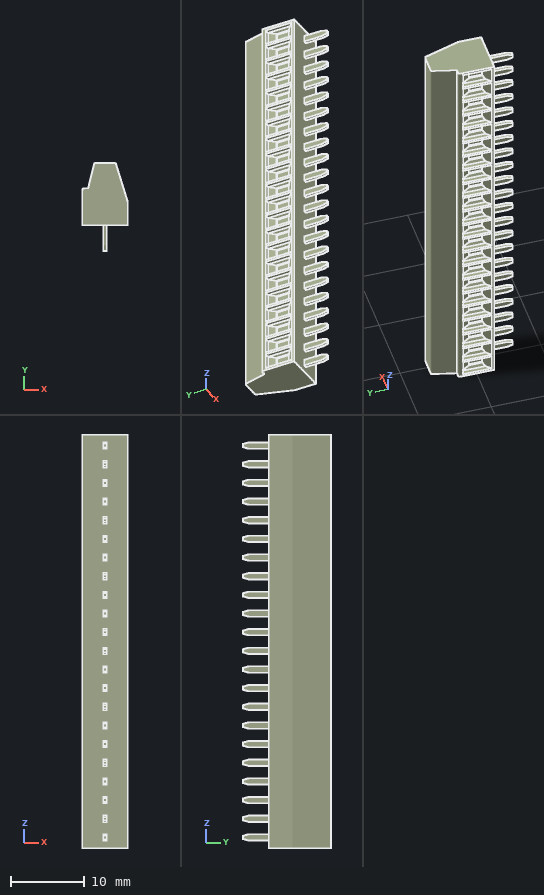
import cadquery as cq

body_width = 6.2
body_depth = 8.5
body_length = 56.35
pin_length = 3.5

pole_count = 22
pole_span = 53.35
pole_pitch = pole_span / (pole_count - 1)

shoulder_depth = body_depth - 3.45
shoulder_width = 0.8
crown_left = 1.65
crown_right = 4.55
flank_depth = body_depth - 5.25
shoulder_radius = 0.3
crown_radius = 0.2

entry_sill = 0.365
entry_width = 4.05
entry_height = 2.2
entry_centre_y = entry_sill + entry_width / 2
mouth_reach = 0.7
funnel_reach = 0.35
throat_width = 1.9
throat_height = 1.4
throat_reach = 0.2
throat_shift = -0.05
throat_rise = 0.05

pin_thickness = 0.5
pin_width = 0.9
pin_tip_width = 0.45
pin_tip_length = 0.8
pin_centre_x = body_width / 2

pole_heights = [
    (body_length - pole_span) / 2 + index * pole_pitch
    for index in range(pole_count)
]


def make_body():
    """Housing profile drawn in XY and extruded along Z."""
    profile = [
        (0, 0),
        (body_width, 0),
        (body_width, flank_depth),
        (crown_right, body_depth),
        (crown_left, body_depth),
        (shoulder_width, shoulder_depth),
        (0, shoulder_depth),
    ]
    body = cq.Workplane("XY").polyline(profile).close().extrude(body_length)
    shoulder_point = (0, shoulder_depth, body_length / 2)
    shoulder_edge = cq.selectors.NearestToPointSelector(shoulder_point)
    body = body.edges(shoulder_edge).fillet(shoulder_radius)
    return body.faces(">Y").edges("|Z").fillet(crown_radius)


def make_wire_entry():
    """Mouth, funnel and throat for a pole at Z = 0; the -Y side is one continuous ramp down to the throat."""
    throat_start = mouth_reach + funnel_reach
    throat_centre = (entry_centre_y + throat_shift, throat_rise)
    ramp_width = (entry_width - throat_width) / 2 + throat_shift
    mouth_ramp = ramp_width * mouth_reach / throat_start
    mouth_floor_width = entry_width - mouth_ramp
    mouth_floor_centre = (entry_centre_y + mouth_ramp / 2, 0)

    mouth = (
        cq.Workplane("YZ")
        .center(entry_centre_y, 0)
        .rect(entry_width, entry_height)
        .workplane(offset=mouth_reach)
        .center(mouth_ramp / 2, 0)
        .rect(mouth_floor_width, entry_height)
        .loft(ruled=True)
    )
    funnel = (
        cq.Workplane("YZ", origin=(mouth_reach, 0, 0))
        .center(*mouth_floor_centre)
        .rect(mouth_floor_width, entry_height)
        .workplane(offset=funnel_reach)
        .center(throat_shift - mouth_ramp / 2, throat_rise)
        .rect(throat_width, throat_height)
        .loft(ruled=True)
    )
    throat = (
        cq.Workplane("YZ", origin=(throat_start, 0, 0))
        .center(*throat_centre)
        .rect(throat_width, throat_height)
        .extrude(throat_reach)
    )
    return mouth.union(funnel).union(throat)


def make_pin():
    """Flat pin at Z = 0 pointing along -Y, narrowed in Z at its tip."""
    half_width = pin_width / 2
    half_tip = pin_tip_width / 2
    taper_start = pin_tip_length - pin_length
    outline = [
        (0, -half_width),
        (taper_start, -half_width),
        (-pin_length, -half_tip),
        (-pin_length, half_tip),
        (taper_start, half_width),
        (0, half_width),
    ]
    plane = cq.Workplane("YZ", origin=(pin_centre_x - pin_thickness / 2, 0, 0))
    return plane.polyline(outline).close().extrude(pin_thickness)


wire_entry = make_wire_entry()
pin = make_pin()
result = make_body()
for pole_height in pole_heights:
    pole_position = (0, 0, pole_height)
    result = result.cut(wire_entry.translate(pole_position))
    result = result.union(pin.translate(pole_position))